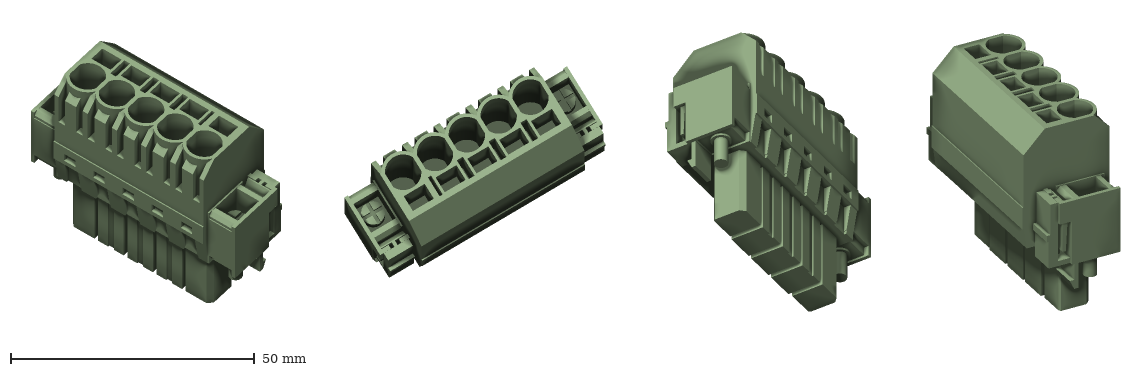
import cadquery as cq


POLE_COUNT = 5
PITCH = 7.65
POLE_X = [(i - (POLE_COUNT - 1) / 2) * PITCH for i in range(POLE_COUNT)]

TOP_Z = 44.7
BAND_TOP_Z = 27.4
BAND_BOTTOM_Z = 22.35
HOUSING_BACK_Z = 17.6
FOOT_Z = 15.5
FLANGE_TOP_Z = 30.55

HOUSING_LENGTH = 39.05
HALF_HOUSING = HOUSING_LENGTH / 2
WALL_Y = 10.05
BAND_Y = 10.3
SKIRT_TOP_Y = 9.9
SKIRT_BACK_Y = 9.3
SKIRT_FRONT_Y = -8.8
BACK_CHAMFER = 4.95
FRONT_CHAMFER = 3.5

WIRE_Y = -4.3
WIRE_RADIUS = 3.75
WIRE_FLAT_WIDTH = 6.65
WIRE_DEPTH = 21.35
COLLAR_WALL = 0.75
COLLAR_RADIUS = WIRE_RADIUS + COLLAR_WALL
FRONT_POCKET_WIDTH = 6.3
FRONT_POCKET_Z = 33.75
PAD_WIDTH = 2.9

RELEASE_SIZE = (5.0, 3.65)
RELEASE_Y = 1.85
RELEASE_DEPTH = 10.65
SLOT_LEFT_OFFSET = 3.1
SLOT_WIDTH = 1.45
LAST_SLOT_WIDTH = 0.75
SLOT_LENGTH = 4.65
SLOT_Y = 1.55
SLOT_DEPTH = 10.65

WINDOW_WIDTH = 2.95
WINDOW_Z = (23.45, 25.5)
WINDOW_DEPTH = 1.1
RECESS_Y = -8.25
RECESS_WIDTH = 3.6
RECESS_FOOT_WIDTH = 3.9
RECESS_FOOT_Z = 16.25

PLUG_WIDTH = 6.65
END_PLUG_TRIM = 0.15
PLUG_FRONT_Y = -6.35
PLUG_BACK_Y = 1.35
PLUG_CORNER = 1.05
END_PLUG_BACK_Y = 1.0
END_PLUG_BACK_CORNER = 0.4
GROOVE_WIDTH = 1.5
GROOVE_DEPTH = 0.4

FLANGE_OUTER_X = -26.65
FLANGE_WALL = 0.85
FLANGE_INNER_WALL = 0.4
CORE_LEFT_X = FLANGE_OUTER_X + FLANGE_WALL
CORE_RIGHT_X = -HALF_HOUSING - FLANGE_INNER_WALL
CORE_X = (CORE_LEFT_X + CORE_RIGHT_X) / 2
FLANGE_FRONT_Y = -8.75
FLANGE_BACK_Y = 2.55
CORE_TOP_Z = 30.45
CORE_BOTTOM_Z = 16.0
LIP_Y = -8.55
LIP_TOP_Y = -7.75
LIP_CHAMFER_Z = 29.55
LIP_BOTTOM_Z = 28.85
TOE_Y = -7.7
TOE_TOP_Z = 17.9
CORE_BACK_CHAMFER = 0.9
POCKET_Y = (-6.6, 0.45)
POCKET_FLOOR_Z = 24.0

LEVER_INNER_Y = 5.45
LEVER_TOP_Y = 7.2
LEVER_BOTTOM_Y = 7.6
LEVER_NIB_Y = 8.0
LEVER_NIB_Z = (21.8, 23.3)
LEVER_FLOOR_Z = 16.7
FRAME_BOTTOM_Z = 25.7
FRAME_FRONT_Y = 4.5
FRAME_GAP = 2.45
TONGUE_BACK_Y = 4.3
TONGUE_TOP_Y = 4.05
TONGUE_NOSE_Y = 3.0
TONGUE_NOSE_Z = 28.25
TONGUE_FOOT_Y = 3.6
TONGUE_FOOT_Z = 18.55
RIB_WIDTH = 0.75

LATCH_Y = (0.65, 1.6)
LATCH_TIP_Y = 2.65
LATCH_BOTTOM_Z = 9.1
LATCH_TIP_Z = 11.25

SCREW_Y = -3.7
HEAD_RADIUS = 2.45
HEAD_TOP_Z = 26.6
SHANK_RADIUS = 1.5
SHANK_BOTTOM_Z = 9.8
DRIVE_WIDTH = 0.8
DRIVE_DEPTH = 0.8
BOSS_RADIUS = 2.2


def block(x_range, y_range, z_range):
    """Box between the given pairs of limits."""
    (x0, x1), (y0, y1), (z0, z1) = x_range, y_range, z_range
    return cq.Workplane("XY").box(x1 - x0, y1 - y0, z1 - z0, centered=False).translate((x0, y0, z0))


def across(x, width):
    """Limits of a width centred on x."""
    return (x - width / 2, x + width / 2)


def side_profile(points, x_range):
    """Outline of (y, z) points swept along X between two limits."""
    x0, x1 = x_range
    return cq.Workplane("YZ").polyline(points).close().extrude(x1 - x0).translate((x0, 0, 0))


def cylinder(x, y, radius, z_range):
    z0, z1 = z_range
    return cq.Workplane("XY").center(x, y).circle(radius).extrude(z1 - z0).translate((0, 0, z0))


def housing_block():
    outline = [
        (WALL_Y - BACK_CHAMFER, TOP_Z),
        (WALL_Y, TOP_Z - BACK_CHAMFER),
        (WALL_Y, BAND_TOP_Z),
        (BAND_Y, BAND_TOP_Z),
        (BAND_Y, BAND_BOTTOM_Z),
        (SKIRT_TOP_Y, BAND_BOTTOM_Z),
        (SKIRT_BACK_Y, HOUSING_BACK_Z),
        (PLUG_BACK_Y, HOUSING_BACK_Z),
        (PLUG_BACK_Y, FOOT_Z),
        (SKIRT_FRONT_Y, FOOT_Z),
        (-SKIRT_TOP_Y, BAND_BOTTOM_Z),
        (-BAND_Y, BAND_BOTTOM_Z),
        (-BAND_Y, BAND_TOP_Z),
        (-WALL_Y, BAND_TOP_Z),
        (-WALL_Y, TOP_Z - FRONT_CHAMFER),
        (-WALL_Y + FRONT_CHAMFER, TOP_Z),
    ]
    return side_profile(outline, (-HALF_HOUSING, HALF_HOUSING))


def wire_collar(x):
    """Round funnel wall that stands out of the front chamfer, no wider than one pole."""
    pole = block(across(x, PITCH), (-WALL_Y, WIRE_Y), (FRONT_POCKET_Z, TOP_Z))
    return cylinder(x, WIRE_Y, COLLAR_RADIUS, (FRONT_POCKET_Z, TOP_Z)).intersect(pole)


def front_pocket(x):
    """Recess beside the collar on both sides of the middle pad."""
    pocket = block(across(x, FRONT_POCKET_WIDTH), (-WALL_Y, WIRE_Y), (FRONT_POCKET_Z, TOP_Z))
    pad = block(across(x, PAD_WIDTH), (-WALL_Y, WIRE_Y), (FRONT_POCKET_Z, TOP_Z))
    return pocket.cut(pad)


def wire_hole(x):
    """Round hole with a flat on its left and right sides."""
    depth = (TOP_Z - WIRE_DEPTH, TOP_Z)
    flats = block(across(x, WIRE_FLAT_WIDTH), across(WIRE_Y, 2 * WIRE_RADIUS), depth)
    return cylinder(x, WIRE_Y, WIRE_RADIUS, depth).intersect(flats)


def release_opening(x):
    width, length = RELEASE_SIZE
    return block(across(x, width), across(RELEASE_Y, length), (TOP_Z - RELEASE_DEPTH, TOP_Z))


def divider_slot(x, width):
    left = x + SLOT_LEFT_OFFSET
    return block((left, left + width), across(SLOT_Y, SLOT_LENGTH), (TOP_Z - SLOT_DEPTH, TOP_Z))


def test_window(x):
    return block(across(x, WINDOW_WIDTH), (-BAND_Y, -BAND_Y + WINDOW_DEPTH), WINDOW_Z)


def skirt_recess(x):
    """Recess in the sloping skirt, slightly wider at its foot."""
    depth = (-BAND_Y, RECESS_Y)
    upper = block(across(x, RECESS_WIDTH), depth, (FOOT_Z, BAND_BOTTOM_Z))
    foot = block(across(x, RECESS_FOOT_WIDTH), depth, (FOOT_Z, RECESS_FOOT_Z))
    return upper.union(foot)


def middle_plug(x):
    """Plug with a shallow groove down its front."""
    plug = block(across(x, PLUG_WIDTH), (PLUG_FRONT_Y, PLUG_BACK_Y), (0, FOOT_Z))
    groove_depth = (PLUG_FRONT_Y, PLUG_FRONT_Y + GROOVE_DEPTH)
    return plug.cut(block(across(x, GROOVE_WIDTH), groove_depth, (0, FOOT_Z)))


def end_plug(x):
    """Plug with bevelled outer corners and a shallower back; x decides which side is the outer one."""
    side = 1 if x > 0 else -1
    inner = x - side * PLUG_WIDTH / 2
    outer = x + side * (PLUG_WIDTH / 2 - END_PLUG_TRIM)
    outline = [
        (inner, PLUG_FRONT_Y),
        (outer - side * PLUG_CORNER, PLUG_FRONT_Y),
        (outer, PLUG_FRONT_Y + PLUG_CORNER),
        (outer, END_PLUG_BACK_Y - END_PLUG_BACK_CORNER),
        (outer - side * END_PLUG_BACK_CORNER, END_PLUG_BACK_Y),
        (inner, END_PLUG_BACK_Y),
    ]
    return cq.Workplane("XY").polyline(outline).close().extrude(FOOT_Z)


def make_housing():
    housing = housing_block()
    for x in POLE_X:
        housing = housing.cut(front_pocket(x))
    for x in POLE_X:
        housing = housing.union(wire_collar(x))
    for x in POLE_X:
        housing = housing.cut(wire_hole(x)).cut(release_opening(x)).cut(test_window(x)).cut(skirt_recess(x))
    for x in POLE_X[:-2]:
        housing = housing.cut(divider_slot(x, SLOT_WIDTH))
    housing = housing.cut(divider_slot(POLE_X[-2], LAST_SLOT_WIDTH))
    for x in POLE_X[1:-1]:
        housing = housing.union(middle_plug(x))
    for x in (POLE_X[0], POLE_X[-1]):
        housing = housing.union(end_plug(x))
    return housing


def flange_core():
    """Middle block with a lip at its top front, a set-back toe and an open pocket for the screw."""
    outline = [
        (POCKET_Y[1], CORE_BOTTOM_Z),
        (POCKET_Y[1], FOOT_Z),
        (FLANGE_BACK_Y, FOOT_Z),
        (FLANGE_BACK_Y, CORE_TOP_Z - CORE_BACK_CHAMFER),
        (FLANGE_BACK_Y - CORE_BACK_CHAMFER, CORE_TOP_Z),
        (LIP_TOP_Y, CORE_TOP_Z),
        (LIP_Y, LIP_CHAMFER_Z),
        (LIP_Y, LIP_BOTTOM_Z),
        (FLANGE_FRONT_Y, LIP_BOTTOM_Z),
        (FLANGE_FRONT_Y, TOE_TOP_Z),
        (TOE_Y, TOE_TOP_Z),
        (TOE_Y, CORE_BOTTOM_Z),
    ]
    core = side_profile(outline, (CORE_LEFT_X, CORE_RIGHT_X))
    return core.cut(block((CORE_LEFT_X, CORE_RIGHT_X), POCKET_Y, (POCKET_FLOOR_Z, CORE_TOP_Z)))


def flange_walls():
    """Outer and inner side walls, and the frame that reaches back to the lever."""
    wall_y = (FLANGE_FRONT_Y, FLANGE_BACK_Y)
    height = (FOOT_Z, FLANGE_TOP_Z)
    frame_z = (FRAME_BOTTOM_Z, FLANGE_TOP_Z)
    frame_y = (FRAME_FRONT_Y, LEVER_INNER_Y)
    outer = block((FLANGE_OUTER_X, CORE_LEFT_X), wall_y, height)
    inner = block((CORE_RIGHT_X, -HALF_HOUSING), wall_y, height)
    reach = block((FLANGE_OUTER_X, CORE_LEFT_X), (FLANGE_BACK_Y, LEVER_INNER_Y), frame_z)
    left_return = block((FLANGE_OUTER_X, CORE_X - FRAME_GAP / 2), frame_y, frame_z)
    right_return = block((CORE_X + FRAME_GAP / 2, -HALF_HOUSING), frame_y, frame_z)
    return outer.union(inner).union(reach).union(left_return).union(right_return)


def flange_lever():
    """Back leg and floor of the lever, with the tongue held by a thin middle rib."""
    nib_bottom, nib_top = LEVER_NIB_Z
    leg_outline = [
        (FLANGE_BACK_Y, FOOT_Z),
        (FLANGE_BACK_Y, LEVER_FLOOR_Z),
        (LEVER_INNER_Y, LEVER_FLOOR_Z),
        (LEVER_INNER_Y, CORE_TOP_Z),
        (LEVER_TOP_Y, CORE_TOP_Z),
        (LEVER_TOP_Y, nib_top),
        (LEVER_NIB_Y, nib_top),
        (LEVER_NIB_Y, nib_bottom),
        (LEVER_BOTTOM_Y, nib_bottom),
        (LEVER_BOTTOM_Y, FOOT_Z),
    ]
    tongue_outline = [
        (TONGUE_BACK_Y, TONGUE_FOOT_Z),
        (TONGUE_BACK_Y, CORE_TOP_Z),
        (TONGUE_TOP_Y, CORE_TOP_Z),
        (TONGUE_NOSE_Y, TONGUE_NOSE_Z),
        (TONGUE_FOOT_Y, TONGUE_FOOT_Z),
    ]
    leg = side_profile(leg_outline, (CORE_LEFT_X, CORE_RIGHT_X))
    tongue = side_profile(tongue_outline, (CORE_LEFT_X, CORE_RIGHT_X))
    rib_x = across(CORE_X, RIB_WIDTH)
    rib = block(rib_x, (TONGUE_TOP_Y, LEVER_INNER_Y), (TONGUE_FOOT_Z, CORE_TOP_Z))
    rib_foot = block(rib_x, (TONGUE_FOOT_Y, LEVER_INNER_Y), (LEVER_FLOOR_Z, TONGUE_FOOT_Z))
    return leg.union(tongue).union(rib).union(rib_foot)


def flange_latch():
    """Plate that hangs below the flange and ends in a barb."""
    front, back = LATCH_Y
    outline = [
        (front, CORE_BOTTOM_Z),
        (back, CORE_BOTTOM_Z),
        (back, LATCH_TIP_Z),
        (LATCH_TIP_Y, LATCH_TIP_Z),
        (back, LATCH_BOTTOM_Z),
        (front, LATCH_BOTTOM_Z),
    ]
    return side_profile(outline, (CORE_LEFT_X, CORE_RIGHT_X))


def make_flange():
    """Left flange, bored for its screw."""
    boss = cylinder(CORE_X, SCREW_Y, BOSS_RADIUS, (FOOT_Z, CORE_BOTTOM_Z))
    bore = cylinder(CORE_X, SCREW_Y, SHANK_RADIUS, (FOOT_Z, POCKET_FLOOR_Z))
    flange = flange_core().union(flange_walls()).union(flange_lever()).union(flange_latch())
    return flange.union(boss).cut(bore)


def make_screw():
    """Left screw: cross-slotted head resting on the pocket floor, shank through the flange."""
    head = cylinder(CORE_X, SCREW_Y, HEAD_RADIUS, (POCKET_FLOOR_Z, HEAD_TOP_Z))
    shank = cylinder(CORE_X, SCREW_Y, SHANK_RADIUS, (SHANK_BOTTOM_Z, POCKET_FLOOR_Z))
    drive_z = (HEAD_TOP_Z - DRIVE_DEPTH, HEAD_TOP_Z)
    long_x, short_x = across(CORE_X, 2 * HEAD_RADIUS), across(CORE_X, DRIVE_WIDTH)
    long_y, short_y = across(SCREW_Y, 2 * HEAD_RADIUS), across(SCREW_Y, DRIVE_WIDTH)
    return head.union(shank).cut(block(long_x, short_y, drive_z)).cut(block(short_x, long_y, drive_z))


def left_and_right(body):
    """The left body and its mirror image on the right."""
    return [body.val(), body.mirror("YZ").val()]


housing = make_housing()
flanges = left_and_right(make_flange())
screws = left_and_right(make_screw())
result = cq.Compound.makeCompound([housing.val(), *flanges, *screws])